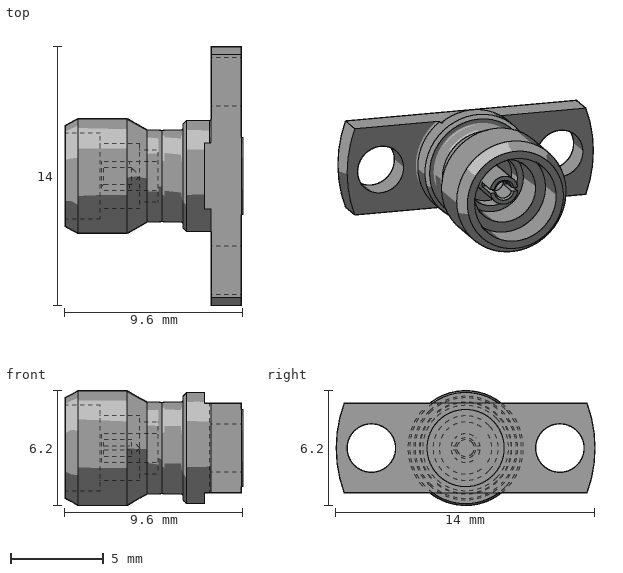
import cadquery as cq

total_length = 9.6
nose_chamfer_length = 0.7
barrel_end = 3.35
neck_start = 4.42
groove_start = 5.05
groove_width = 0.33
collar_front = 6.35
collar_relief = 7.52
flange_front = 7.87
rear_boss_length = 0.1
flange_back = total_length - rear_boss_length

nose_radius = 2.72
barrel_radius = 3.1
neck_radius = 2.49
collar_radius = 3.0
rear_boss_radius = 2.08
groove_depth = 0.04
neck_fillet = 0.08
collar_chamfer = 0.2
flange_fillet = 0.08

flange_radius = 6.98
flange_height = 4.84
mount_hole_diameter = 2.6
mount_hole_offset = 5.08

entry_bore = (2.31, 1.87)
middle_bore = (1.75, 4.0)
inner_bore = (1.41, 5.0)

contact_radius = 0.78
contact_front = 1.97
contact_hole_radius = 0.46
contact_hole_depth = 1.6
contact_countersink = 0.1
contact_slot_width = 0.21
contact_slot_depth = 1.5


def cylinder(radius, start, end):
    """Solid cylinder on the X axis between two stations."""
    return cq.Workplane("YZ").workplane(offset=start).circle(radius).extrude(end - start)


def revolve_about_axis(profile, angle=360):
    """Close an XY profile and revolve it about the X axis."""
    return profile.close().revolve(angle, (0, 0, 0), (1, 0, 0))


def make_barrel_and_collar():
    profile = (
        cq.Workplane("XY")
        .lineTo(0, nose_radius)
        .lineTo(nose_chamfer_length, barrel_radius)
        .lineTo(barrel_end, barrel_radius)
        .lineTo(neck_start, neck_radius)
        .lineTo(groove_start, neck_radius)
        .lineTo(groove_start + groove_width / 2, neck_radius - groove_depth)
        .lineTo(groove_start + groove_width, neck_radius)
        .lineTo(collar_front - neck_fillet, neck_radius)
        .radiusArc((collar_front, neck_radius + neck_fillet), -neck_fillet)
        .lineTo(collar_front, collar_radius - collar_chamfer)
        .lineTo(collar_front + collar_chamfer, collar_radius)
        .lineTo(flange_front, collar_radius)
        .lineTo(flange_front, 0)
    )
    return revolve_about_axis(profile)


def make_flange_fillet():
    """Concave fillet between the collar and the flange face, on the +Y side only."""
    profile = (
        cq.Workplane("XY")
        .moveTo(flange_front, 0)
        .lineTo(flange_front - flange_fillet, 0)
        .lineTo(flange_front - flange_fillet, collar_radius)
        .radiusArc((flange_front, collar_radius + flange_fillet), -flange_fillet)
    )
    half_turn = revolve_about_axis(profile, 180)
    return half_turn.rotate((0, 0, 0), (1, 0, 0), -90)


def trim_to_flange_height(body, start):
    """Cut everything behind a station flush with the flange's long sides."""
    length = total_length - start
    bar = (
        cq.Workplane("XY")
        .box(length, 2 * flange_radius, flange_height)
        .translate((start + length / 2, 0, 0))
    )
    front = cylinder(flange_radius, 0, start)
    return body.intersect(front.union(bar))


def make_mount_holes():
    return (
        cq.Workplane("YZ")
        .workplane(offset=flange_front)
        .pushPoints([(-mount_hole_offset, 0), (mount_hole_offset, 0)])
        .circle(mount_hole_diameter / 2)
        .extrude(flange_back - flange_front)
    )


def make_socket():
    socket = cylinder(entry_bore[0], 0, entry_bore[1])
    for radius, depth in (middle_bore, inner_bore):
        socket = socket.union(cylinder(radius, 0, depth))
    return socket


def make_contact():
    """Contact pin with a countersunk, cone-bottomed hole and a slot across its tip."""
    pin = cylinder(contact_radius, contact_front, inner_bore[1])
    hole_end = contact_front + contact_hole_depth
    hole_profile = (
        cq.Workplane("XY")
        .moveTo(contact_front, 0)
        .lineTo(contact_front, contact_hole_radius + contact_countersink)
        .lineTo(contact_front + contact_countersink, contact_hole_radius)
        .lineTo(hole_end, contact_hole_radius)
        .lineTo(hole_end + contact_hole_radius, 0)
    )
    slot = (
        cq.Workplane("XY")
        .box(contact_slot_depth, 2 * contact_radius, contact_slot_width)
        .translate((contact_front + contact_slot_depth / 2, 0, 0))
    )
    return pin.cut(revolve_about_axis(hole_profile)).cut(slot)


body = make_barrel_and_collar()
body = body.union(cylinder(flange_radius, flange_front, flange_back))
body = body.union(make_flange_fillet())
body = trim_to_flange_height(body, collar_relief)
body = body.union(cylinder(rear_boss_radius, flange_back, total_length))
body = body.cut(make_mount_holes())
body = body.cut(make_socket())
result = body.union(make_contact())